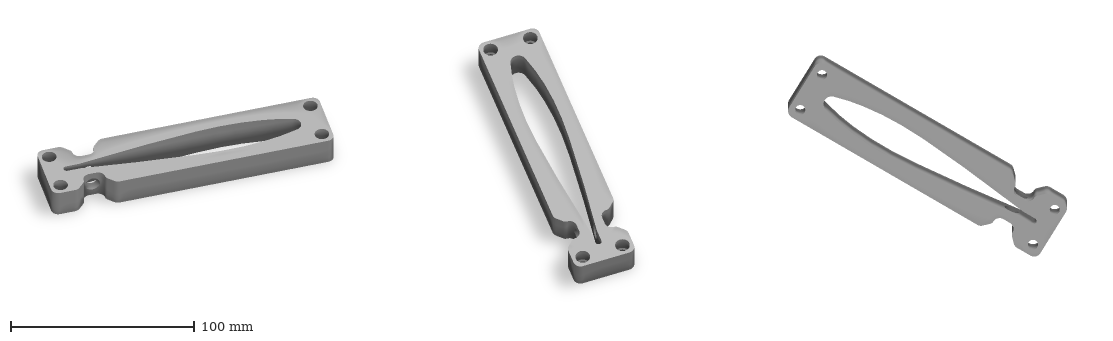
import cadquery as cq
import math

WIDTH = 35.0
LENGTH = 160.0
HEIGHT = 16.0
CORNER_RADIUS = 4.0

HOLE_SPACING_X = 23.0
HOLE_SPACING_Y = 148.2
HOLE_DIAMETER = 5.5
COUNTERBORE_DIAMETER = 8.0
COUNTERBORE_DEPTH = 8.0

WAIST_Y = -54.9
WAIST_HALF_WIDTH = 7.44
WAIST_HALF_LENGTH = 6.0
WAIST_INNER_RADIUS = 4.0
WAIST_LIP_RADIUS = 2.7
WAIST_SHOULDER_RADIUS = 4.0

CROSS_HOLE_DIAMETER = 8.2

NOSE_TOP_Y = 65.5
NOSE_RADIUS = 4.5
NOSE_WALL_ANGLE = math.radians(11)
TAIL_BOTTOM_Y = -69.1
TAIL_RADIUS = 1.8
TAIL_STRAIGHT_TOP_Y = -60.0
SLOT_WALL_POINTS = [(7.5, 48.0), (8.6, 39.4), (9.5, 20.8), (8.0, -4.0), (3.7, -44.5)]


def make_bar():
    bar = cq.Workplane("XY").box(WIDTH, LENGTH, HEIGHT)
    return bar.edges("|Z").fillet(CORNER_RADIUS)


def arc_point(center, radius, degrees):
    angle = math.radians(degrees)
    return (center[0] + radius * math.cos(angle), center[1] + radius * math.sin(angle))


def make_waist_notch():
    """Cutter for the notch on the +X side."""
    edge_x = WIDTH / 2
    top = WAIST_HALF_LENGTH
    inner_center = (WAIST_HALF_WIDTH + WAIST_INNER_RADIUS, top - WAIST_INNER_RADIUS)
    lip_center = (inner_center[0], top + WAIST_LIP_RADIUS)
    lip_end = arc_point(lip_center, WAIST_LIP_RADIUS, -45)

    shoulder_x = edge_x - WAIST_SHOULDER_RADIUS
    ramp_end_x = arc_point((shoulder_x, 0), WAIST_SHOULDER_RADIUS, -45)[0]
    ramp_end_y = lip_end[1] + ramp_end_x - lip_end[0]
    shoulder_y = ramp_end_y + WAIST_SHOULDER_RADIUS * math.sin(math.radians(45))
    shoulder_center = (shoulder_x, shoulder_y)

    half_notch = (
        cq.Workplane("XY")
        .moveTo(WAIST_HALF_WIDTH, 0)
        .lineTo(WAIST_HALF_WIDTH, inner_center[1])
        .threePointArc(arc_point(inner_center, WAIST_INNER_RADIUS, 135), (inner_center[0], top))
        .threePointArc(arc_point(lip_center, WAIST_LIP_RADIUS, -67.5), lip_end)
        .lineTo(ramp_end_x, ramp_end_y)
        .threePointArc(
            arc_point(shoulder_center, WAIST_SHOULDER_RADIUS, -22.5),
            (edge_x, shoulder_y),
        )
        .lineTo(edge_x, 0)
        .close()
        .extrude(HEIGHT / 2, both=True)
    )
    notch = half_notch.union(half_notch.mirror("XZ"))
    return notch.translate((0, WAIST_Y, 0))


def make_slot():
    nose_x = NOSE_RADIUS * math.cos(NOSE_WALL_ANGLE)
    nose_y = NOSE_TOP_Y - NOSE_RADIUS + NOSE_RADIUS * math.sin(NOSE_WALL_ANGLE)
    tail_center_y = TAIL_BOTTOM_Y + TAIL_RADIUS
    wall = [(nose_x, nose_y)] + SLOT_WALL_POINTS + [(TAIL_RADIUS, TAIL_STRAIGHT_TOP_Y)]
    opposite_wall = [(-x, y) for x, y in reversed(wall)]
    return (
        cq.Workplane("XY")
        .moveTo(-nose_x, nose_y)
        .threePointArc((0, NOSE_TOP_Y), (nose_x, nose_y))
        .spline(wall[1:], includeCurrent=True)
        .lineTo(TAIL_RADIUS, tail_center_y)
        .threePointArc((0, TAIL_BOTTOM_Y), (-TAIL_RADIUS, tail_center_y))
        .lineTo(-TAIL_RADIUS, TAIL_STRAIGHT_TOP_Y)
        .spline(opposite_wall[1:], includeCurrent=True)
        .close()
        .extrude(HEIGHT / 2, both=True)
    )


def make_cross_hole():
    return (
        cq.Workplane("YZ")
        .center(WAIST_Y, 0)
        .circle(CROSS_HOLE_DIAMETER / 2)
        .extrude(WIDTH / 2, both=True)
    )


def drill_screw_holes(body):
    return (
        body.faces(">Z")
        .workplane(origin=(0, 0, HEIGHT / 2))
        .rect(HOLE_SPACING_X, HOLE_SPACING_Y, forConstruction=True)
        .vertices()
        .cboreHole(HOLE_DIAMETER, COUNTERBORE_DIAMETER, COUNTERBORE_DEPTH)
    )


notch = make_waist_notch()
body = make_bar().cut(notch).cut(notch.mirror("YZ"))
body = body.cut(make_slot()).cut(make_cross_hole())
result = drill_screw_holes(body)